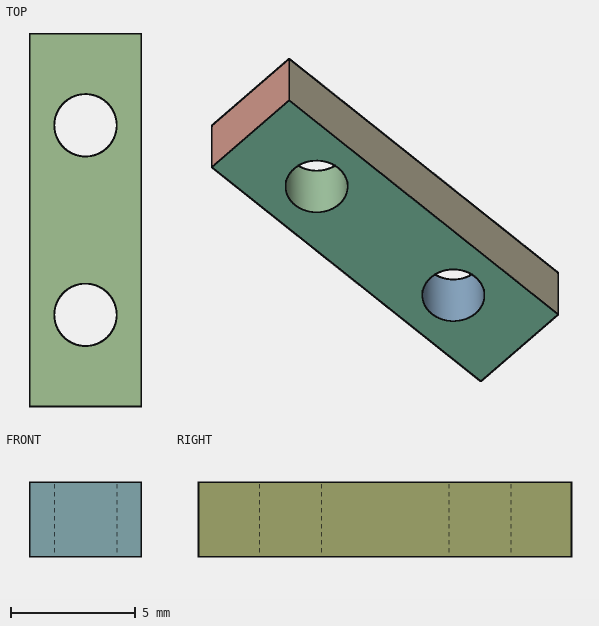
import cadquery as cq

width = 4.5
length = 15.0
height = 3.0
hole_diameter = 2.5
hole_spacing = 7.62


def make_bar():
    """Rectangular bar centred on the origin."""
    return cq.Workplane("XY").box(width, length, height)


def drill_holes(bar):
    """Two through holes on the long centreline, symmetric about the middle."""
    hole_centres = [(0, side * hole_spacing / 2) for side in (-1, 1)]
    return bar.faces(">Z").workplane().pushPoints(hole_centres).hole(hole_diameter)


result = drill_holes(make_bar())